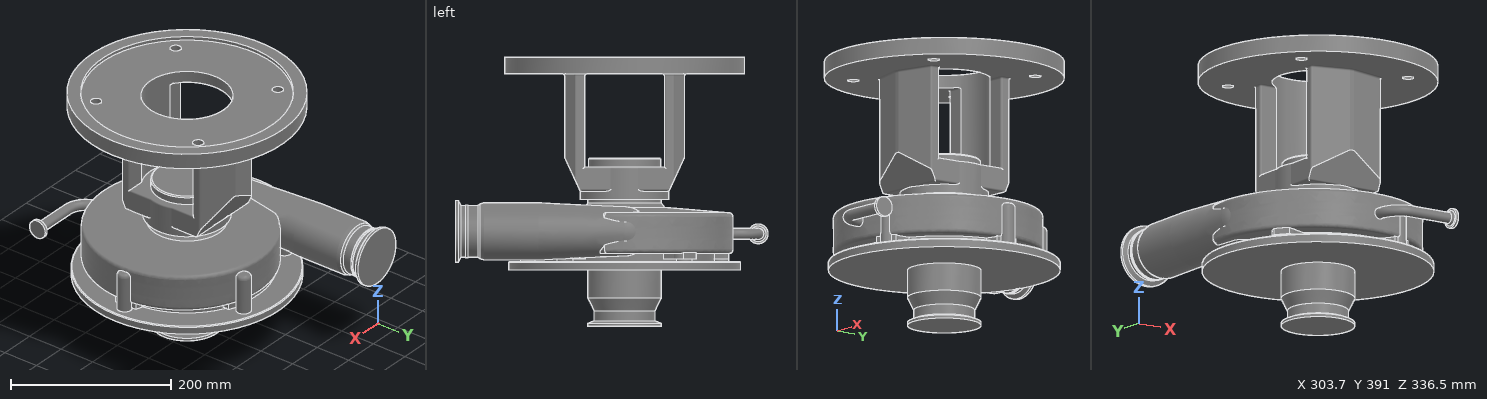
import cadquery as cq
import math


flange_radius = 150.0
flange_top = 336.5
flange_thickness = 21.0
flange_bottom = flange_top - flange_thickness
recess_radius = 133.0
recess_depth = 5.0
bore_radius = 57.5
bolt_spacing = 162.0
bolt_hole_radius = 7.0

bracket_half_width = 52.8
bracket_apex_half_width = 2.95
bracket_apex_y = 75.0
bracket_side_y = 62.0
bracket_bottom = 169.0
bracket_slope_top = 211.0
bracket_slope_bottom_y = 55.5
bracket_edge_round = 2.7
window_half_width = 49.5
window_floor = 199.5
window_edge_round = 2.7
flange_joint_round = 2.7
hub_radius = 55.5
hub_bottom = 158.5
hub_edge_round = 2.7

housing_radius = 45.5
housing_top = 210.5
housing_chamfer = 1.5
neck_radius = 46.0
neck_flare_top = 154.0
neck_flare_radius = 50.5
cover_peak = 149.0
cover_margin = 0.5

casing_bottom = 91.0
casing_top = 142.3
casing_top_round = 6.0
casing_bottom_round = 5.0
spiral_radius = 128.0
spiral_growth_per_degree = 8.0 / 90
spiral_start = 135
spiral_end = -190
spiral_step = 5

plate_radius = 145.0
plate_bottom = 70.5
plate_top = 81.5
plate_chamfer = 1.0
plinth_radius = 112.0
post_count = 5
post_circle_radius = 126.5
post_radius = 9.8
post_top = 135.3
post_round = 6.3
boss_radius = 15.2
boss_root_half_width = 20.7
boss_bottom = 84.0
boss_inset = 2.0
boss_root_overlap = 4.0

inlet_radius = 46.0
inlet_taper_top = 35.5
inlet_taper_bottom = 19.5
inlet_end_radius = 38.5
ferrule_thickness = 4.0
ferrule_cone_length = 3.0

outlet_x = -115.0
outlet_z = 119.0
outlet_end = 211.5
outlet_radius = 36.0
outlet_root_radius = 31.0
outlet_taper_start = 107.0
outlet_shoulder_start = 175.5
outlet_shoulder_middle = 180.5
outlet_shoulder_end = 183.5
outlet_shoulder_radius = 34.5
outlet_neck_radius = 32.5
outlet_ferrule_radius = 38.7
weld_bead_start = 196.0
weld_bead_width = 2.7
weld_bead_radius = 33.2

drain_z = 115.7
drain_radius = 7.0
drain_start_y = -125.0
drain_y = -167.0
drain_bend_radius = 28.0
drain_end_x = 90.0
drain_ferrule_radius = 12.5
drain_neck_length = 3.0
drain_neck_radius = 9.8

pick_slack = 0.5


def cylinder(radius, bottom, top):
    return cq.Workplane("XY").workplane(offset=bottom).circle(radius).extrude(top - bottom)


def spiral_outline(inset):
    """Points of the volute outline, moved inward by the inset."""
    steps = (spiral_start - spiral_end) // spiral_step
    points = []
    for i in range(steps + 1):
        angle = spiral_start - i * spiral_step
        radius = spiral_radius - spiral_growth_per_degree * angle - inset
        turn = math.radians(angle)
        points.append((radius * math.cos(turn), radius * math.sin(turn)))
    return points


def volute(bottom, top, inset=0.0):
    outline = cq.Workplane("XY").workplane(offset=bottom).spline(spiral_outline(inset)).close()
    return outline.extrude(top - bottom)


def make_flange():
    flange = cylinder(flange_radius, flange_bottom, flange_top)
    flange = flange.cut(cylinder(recess_radius, flange_top - recess_depth, flange_top))
    holes = (
        cq.Workplane("XY")
        .workplane(offset=flange_bottom)
        .rect(bolt_spacing, bolt_spacing, forConstruction=True)
        .vertices()
        .circle(bolt_hole_radius)
        .extrude(flange_thickness)
    )
    return flange.cut(holes)


def make_bracket():
    """Two legs with V-shaped outer faces, joined by a solid base."""
    height = flange_bottom - bracket_bottom
    body = (
        cq.Workplane("XY")
        .workplane(offset=bracket_bottom)
        .moveTo(-bracket_half_width, -bracket_side_y)
        .lineTo(-bracket_apex_half_width, -bracket_apex_y)
        .lineTo(bracket_apex_half_width, -bracket_apex_y)
        .lineTo(bracket_half_width, -bracket_side_y)
        .lineTo(bracket_half_width, bracket_side_y)
        .lineTo(bracket_apex_half_width, bracket_apex_y)
        .lineTo(-bracket_apex_half_width, bracket_apex_y)
        .lineTo(-bracket_half_width, bracket_side_y)
        .close()
        .extrude(height)
    )
    body = body.edges("|Z and (>X or <X)").fillet(bracket_edge_round)
    tapered_side = (
        cq.Workplane("YZ")
        .moveTo(-bracket_slope_bottom_y, bracket_bottom)
        .lineTo(bracket_slope_bottom_y, bracket_bottom)
        .lineTo(bracket_apex_y, bracket_slope_top)
        .lineTo(bracket_apex_y, flange_bottom)
        .lineTo(-bracket_apex_y, flange_bottom)
        .lineTo(-bracket_apex_y, bracket_slope_top)
        .close()
        .extrude(bracket_half_width, both=True)
    )
    window_height = flange_bottom - window_floor
    window = (
        cq.Workplane("XY")
        .workplane(offset=window_floor)
        .rect(2 * flange_radius, 2 * window_half_width)
        .extrude(window_height)
    )
    body = body.intersect(tapered_side)
    body = body.faces("<Z").edges().fillet(bracket_edge_round).cut(window)
    window_edges = cq.selectors.BoxSelector(
        (-flange_radius, -window_half_width - pick_slack, window_floor - pick_slack),
        (flange_radius, window_half_width + pick_slack, flange_bottom - pick_slack),
    )
    body = body.edges("(|Z or |Y) and (>X or <X)").edges(window_edges).fillet(window_edge_round)
    hub = cylinder(hub_radius, hub_bottom, window_floor).faces(">Z").edges().fillet(hub_edge_round)
    return body.union(hub)


def make_housing():
    housing = cylinder(housing_radius, hub_bottom, housing_top)
    return housing.faces(">Z").edges().chamfer(housing_chamfer)


def on_neck(angle):
    """Point on the foot of the shaft neck at an angle in degrees."""
    turn = math.radians(angle)
    return (neck_flare_radius * math.cos(turn), neck_flare_radius * math.sin(turn))


def make_casing():
    """Volute with a cover that rises from the spiral edge to the round shaft neck."""
    casing = volute(casing_bottom, casing_top)
    casing = casing.faces(">Z").edges().fillet(casing_top_round)
    casing = casing.faces("<Z").edges().fillet(casing_bottom_round)
    inset = casing_top_round + cover_margin
    middle = (spiral_start + spiral_end) / 2
    cover = (
        cq.Workplane("XY")
        .workplane(offset=casing_top)
        .spline(spiral_outline(inset))
        .close()
        .workplane(offset=cover_peak - casing_top)
        .moveTo(*on_neck(spiral_start))
        .threePointArc(on_neck(middle), on_neck(spiral_end))
        .threePointArc(on_neck(middle + 180), on_neck(spiral_start))
        .close()
        .loft(ruled=True)
    )
    flare_height = neck_flare_top - cover_peak
    neck = cylinder(neck_radius, casing_top, hub_bottom)
    flare = cq.Workplane(cq.Solid.makeCone(neck_flare_radius, neck_radius, flare_height))
    neck = neck.union(flare.translate((0, 0, cover_peak)))
    return casing.union(cover).union(neck)


def make_base():
    plate = cylinder(plate_radius, plate_bottom, plate_top)
    plate = plate.faces(">Z").edges().chamfer(plate_chamfer)
    return plate.union(cylinder(plinth_radius, plate_top, casing_bottom))


def make_post():
    post = cylinder(post_radius, plate_top, post_top).faces(">Z").edges().fillet(post_round)
    return post.translate((post_circle_radius, 0, 0))


def make_boss():
    """Round boss under the casing with a root that widens toward the plinth."""
    height = casing_bottom + casing_bottom_round - boss_bottom
    base = cq.Workplane("XY").workplane(offset=boss_bottom)
    eye = base.center(post_circle_radius, 0).circle(boss_radius).extrude(height)
    root_x = plinth_radius - boss_root_overlap
    root = (
        base.moveTo(root_x, -boss_root_half_width)
        .lineTo(post_circle_radius, -boss_radius)
        .lineTo(post_circle_radius, boss_radius)
        .lineTo(root_x, boss_root_half_width)
        .close()
        .extrude(height)
    )
    return eye.union(root)


def make_inlet():
    ferrule_back = ferrule_thickness + ferrule_cone_length
    return (
        cq.Workplane("XZ")
        .lineTo(inlet_radius, 0)
        .lineTo(inlet_radius, ferrule_thickness)
        .lineTo(inlet_end_radius, ferrule_back)
        .lineTo(inlet_end_radius, inlet_taper_bottom)
        .lineTo(inlet_radius, inlet_taper_top)
        .lineTo(inlet_radius, plate_bottom)
        .lineTo(0, plate_bottom)
        .close()
        .revolve(360, (0, 0, 0), (0, 1, 0))
    )


def make_outlet():
    """Tapered outlet pipe with a ball end inside the casing."""
    ferrule_front = outlet_end - ferrule_thickness
    ferrule_back = ferrule_front - ferrule_cone_length
    arc_offset = outlet_root_radius * math.sqrt(0.5)
    pipe = (
        cq.Workplane("XY")
        .moveTo(0, -outlet_root_radius)
        .threePointArc((arc_offset, -arc_offset), (outlet_root_radius, 0))
        .lineTo(outlet_radius, outlet_taper_start)
        .lineTo(outlet_radius, outlet_shoulder_start)
        .lineTo(outlet_shoulder_radius, outlet_shoulder_middle)
        .lineTo(outlet_neck_radius, outlet_shoulder_end)
        .lineTo(outlet_neck_radius, weld_bead_start)
        .lineTo(weld_bead_radius, weld_bead_start)
        .lineTo(weld_bead_radius, weld_bead_start + weld_bead_width)
        .lineTo(outlet_neck_radius, weld_bead_start + weld_bead_width)
        .lineTo(outlet_neck_radius, ferrule_back)
        .lineTo(outlet_ferrule_radius, ferrule_front)
        .lineTo(outlet_ferrule_radius, outlet_end)
        .lineTo(0, outlet_end)
        .close()
        .revolve(360, (0, 0, 0), (0, 1, 0))
    )
    return pipe.translate((outlet_x, 0, outlet_z))


def make_drain():
    """Thin tube that leaves the casing along -Y and bends to +X."""
    bend_middle = drain_bend_radius * (1 - math.sqrt(0.5))
    path = (
        cq.Workplane("XY")
        .moveTo(0, drain_start_y)
        .lineTo(0, drain_y + drain_bend_radius)
        .threePointArc((bend_middle, drain_y + bend_middle), (drain_bend_radius, drain_y))
        .lineTo(drain_end_x, drain_y)
    )
    tube = cq.Workplane("XZ", origin=(0, drain_start_y, 0)).circle(drain_radius).sweep(path)
    ferrule_back = drain_end_x - ferrule_thickness
    ferrule = (
        cq.Workplane("XY")
        .moveTo(ferrule_back - drain_neck_length, 0)
        .lineTo(ferrule_back - drain_neck_length, drain_radius)
        .lineTo(ferrule_back, drain_neck_radius)
        .lineTo(ferrule_back, drain_ferrule_radius)
        .lineTo(drain_end_x, drain_ferrule_radius)
        .lineTo(drain_end_x, 0)
        .close()
        .revolve(360, (0, 0, 0), (1, 0, 0))
        .translate((0, drain_y, 0))
    )
    return tube.union(ferrule).translate((0, 0, drain_z))


result = make_flange().union(make_bracket())
leg_joint = cq.selectors.BoxSelector(
    (-bracket_half_width - pick_slack, -bracket_apex_y - pick_slack, flange_bottom - pick_slack),
    (bracket_half_width + pick_slack, bracket_apex_y + pick_slack, flange_bottom + pick_slack),
    boundingbox=True,
)
result = result.edges(leg_joint).fillet(flange_joint_round)

result = result.cut(cylinder(bore_radius, window_floor, flange_top))
for section in (make_housing(), make_casing(), make_base(), make_inlet(), make_outlet(), make_drain()):
    result = result.union(section)

boss_limit = volute(boss_bottom, casing_top, boss_inset)
for i in range(post_count):
    turn = 360 / post_count * i
    result = result.union(make_post().rotate((0, 0, 0), (0, 0, 1), turn))
    boss = make_boss().rotate((0, 0, 0), (0, 0, 1), turn)
    result = result.union(boss.intersect(boss_limit))